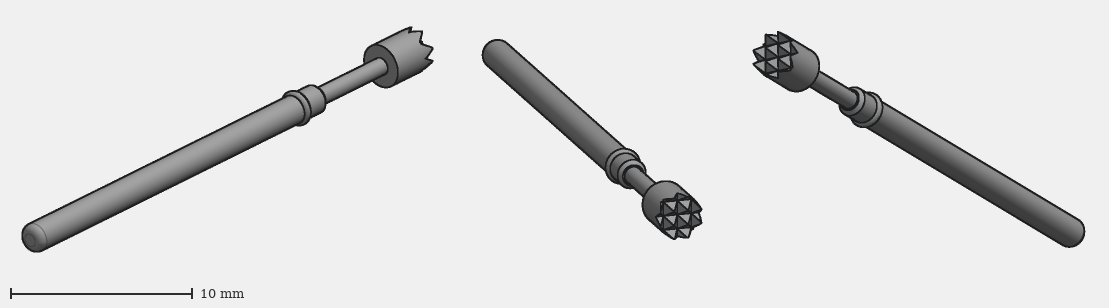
import cadquery as cq

total_length = 32.3
head_diameter = 2.5
head_length = 3.0
plunger_diameter = 1.0

barrel_diameter = 1.65
barrel_start = 8.3
barrel_taper_length = 0.25
barrel_mouth_diameter = 1.2
ring_center = 10.08
ring_width = 0.5
ring_diameter = 2.0
tail_rounding = 0.45

grooves_per_direction = 3
groove_pitch = 0.8
groove_width = 0.78
groove_depth = 0.68

crown_y = total_length / 2
head_radius = head_diameter / 2


def rod(diameter, start, end):
    """Round bar on the Y axis between two distances from the crown tips."""
    plane = cq.Workplane("XZ", origin=(0, crown_y - start, 0))
    return plane.circle(diameter / 2).extrude(end - start)


def crown_head():
    """Head with V grooves crossing in X and Z, leaving pyramid teeth."""
    head = rod(head_diameter, 0, head_length)
    groove = (
        cq.Workplane("XY", origin=(0, crown_y, -head_radius))
        .moveTo(-groove_width / 2, 0)
        .lineTo(0, -groove_depth)
        .lineTo(groove_width / 2, 0)
        .close()
        .extrude(head_diameter)
    )
    for index in range(grooves_per_direction):
        offset = (index - (grooves_per_direction - 1) / 2) * groove_pitch
        cutter = groove.translate((offset, 0, 0))
        head = head.cut(cutter)
        head = head.cut(cutter.rotate((0, 0, 0), (0, 1, 0), 90))
    return head


def barrel():
    """Barrel with a tapered mouth and a rounded tail."""
    body = rod(barrel_diameter, barrel_start, total_length)
    mouth_step = (barrel_diameter - barrel_mouth_diameter) / 2
    body = body.faces(">Y").chamfer(barrel_taper_length, mouth_step)
    return body.faces("<Y").edges().fillet(tail_rounding)


def press_ring():
    """Rounded ring standing proud of the barrel."""
    barrel_radius = barrel_diameter / 2
    ring_y = crown_y - ring_center
    return (
        cq.Workplane("XY")
        .moveTo(0, ring_y - ring_width / 2)
        .lineTo(barrel_radius, ring_y - ring_width / 2)
        .threePointArc((ring_diameter / 2, ring_y), (barrel_radius, ring_y + ring_width / 2))
        .lineTo(0, ring_y + ring_width / 2)
        .close()
        .revolve(360, (0, 0, 0), (0, 1, 0))
    )


plunger = rod(plunger_diameter, head_length, barrel_start)
result = crown_head().union(plunger).union(barrel()).union(press_ring())